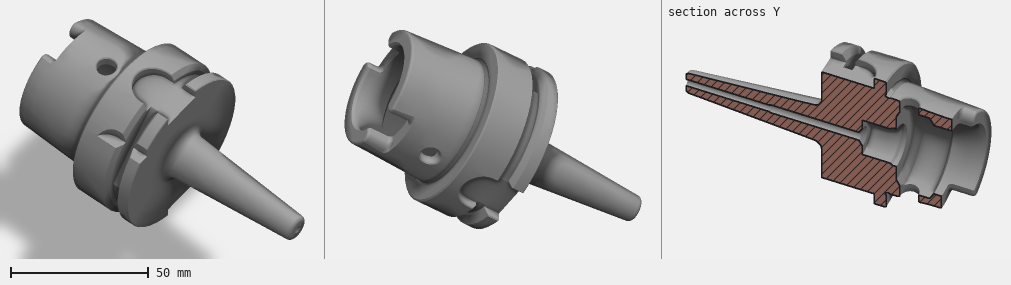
import cadquery as cq
import math

flange_face = 31.9
flange_back = 57.9
nose_end = 112.0

taper_gauge_diameter = 48.0
taper_gauge_x = 25.4
taper_slope = 0.05
taper_end = 29.7
rim_fillet = 1.0
neck_radius = 24.0
neck_lead = 30.4
neck_start = 30.7
neck_end = 31.4
face_relief_inner_radius = 24.4
face_relief_outer_radius = 25.3
face_relief_depth = 0.3

flange_diameter = 63.0
flange_radius = flange_diameter / 2
flange_front_chamfer = 0.6
flange_back_chamfer = 0.3
groove_front = 47.9
groove_back = 51.6
groove_bottom_radius = 27.4
groove_front_flank = 1.3
groove_back_flank = 1.7
flank_angle = 60.0
groove_flat_distance = 21.7
groove_flat_tilt = 48.0

cutter_radius = 8.0
cutter_center_x = 44.9
keyway_floor = 26.5
keyway_edge_chamfer = 0.5
notch_floor = 20.0

nose_tip_diameter = 10.0
nose_slope = 0.077
nose_root_fillet = 3.2
nose_tip_fillet = 1.7

slot_half_width = 6.3
slot_flare_height = 20.6
slot_flare_radius = 3.0
slot_floor_fillet = 1.5
top_slot_depth = 5.8
bottom_slot_depth = 9.9

cross_hole_diameter = 7.5
cross_hole_rim_diameter = 8.4
cross_hole_x = 22.8

bore_diameter = 34.0
bore_rim_chamfer = 0.6
bore_rim_chamfer_length = 1.1
bore_lip_end = 13.0
chamber_diameter = 40.0
chamber_floor = 27.9
chamber_floor_diameter = 31.6
chamber_floor_cone_length = 2.1
clamp_cone_angle = 30.0

thread_recess_diameter = 18.5
thread_diameter = 16.9
thread_recess_end = 29.7
thread_floor = 41.4
coolant_cone_diameter = 8.6
coolant_cone_angle = 118.0
coolant_hole_diameter = 3.7
tool_bore_diameter = 3.0
tool_bore_start = 78.4


def revolve_profile(points):
    """Revolve a closed (x, radius) outline about the X axis."""
    outline = cq.Workplane("XY").polyline(points).close()
    return outline.revolve(360, (0, 0, 0), (1, 0, 0))


def taper_radius(x):
    return taper_gauge_diameter / 2 + taper_slope * (x - taper_gauge_x)


def nose_radius(x):
    return nose_tip_diameter / 2 + nose_slope * (nose_end - x)


def make_taper():
    return revolve_profile([
        (0, 0),
        (0, taper_radius(0)),
        (taper_end, taper_radius(taper_end)),
        (neck_lead, taper_radius(taper_end)),
        (neck_start, neck_radius),
        (neck_end, neck_radius),
        (flange_face + face_relief_depth, face_relief_inner_radius),
        (flange_face + face_relief_depth, 0),
    ])


def make_flange():
    ring = cq.Workplane("YZ").workplane(offset=flange_face).circle(flange_radius)
    ring = ring.extrude(flange_back - flange_face)
    ring = ring.faces("<X").chamfer(flange_front_chamfer)
    ring = ring.faces(">X").chamfer(flange_back_chamfer)
    relief = revolve_profile([
        (flange_face, 0),
        (flange_face, face_relief_outer_radius),
        (flange_face + face_relief_depth, face_relief_outer_radius - face_relief_depth),
        (flange_face + face_relief_depth, 0),
    ])
    return ring.cut(relief)


def milled_pocket(center_y, floor):
    """Round-ended slot running out through the back of the flange, open upwards."""
    length = nose_end - cutter_center_x
    height = flange_radius
    base = cq.Workplane("XY").workplane(offset=floor)
    end = base.center(cutter_center_x, center_y).circle(cutter_radius).extrude(height)
    run = base.center(cutter_center_x + length / 2, center_y)
    run = run.rect(length, 2 * cutter_radius).extrude(height)
    return end.union(run)


def cut_keyways(flange):
    keyway = milled_pocket(0, keyway_floor)
    for angle in (0, 180):
        flange = flange.cut(keyway.rotate((0, 0, 0), (1, 0, 0), angle))
    for outermost in (">Z", "<Z"):
        flange = flange.edges("|X").edges(outermost).chamfer(keyway_edge_chamfer)
    return flange


def cut_notch(flange):
    return flange.cut(milled_pocket(-notch_floor - cutter_radius, notch_floor))


def cut_gripper_groove(flange):
    rise = math.tan(math.radians(flank_angle))
    groove = revolve_profile([
        (groove_front, groove_bottom_radius),
        (groove_front, flange_radius - groove_front_flank * rise),
        (groove_front - groove_front_flank, flange_radius),
        (groove_back + groove_back_flank, flange_radius),
        (groove_back, flange_radius - groove_back_flank * rise),
        (groove_back, groove_bottom_radius),
    ])
    flat = cq.Workplane("XY").box(
        groove_back - groove_front,
        flange_diameter,
        flange_radius,
        centered=(False, True, False),
    )
    flat = flat.translate((groove_front, 0, groove_flat_distance))
    flat = flat.rotate((0, 0, 0), (1, 0, 0), groove_flat_tilt)
    return flange.cut(groove).cut(flat)


def make_nose():
    nose = revolve_profile([
        (flange_back, 0),
        (flange_back, nose_radius(flange_back)),
        (nose_end, nose_radius(nose_end)),
        (nose_end, 0),
    ])
    return nose.faces(">X").edges().fillet(nose_tip_fillet)


def drive_slot(depth):
    """Slot from the axis out through the +Z side of the rim, flaring outwards, with a filleted floor."""
    r = slot_flare_radius
    top = flange_radius
    bend = r * math.sqrt(0.5)
    arc_y = slot_half_width + r
    arc_z = slot_flare_height - r
    profile = (
        cq.Workplane("YZ")
        .moveTo(-slot_half_width, 0)
        .lineTo(slot_half_width, 0)
        .lineTo(slot_half_width, arc_z)
        .threePointArc((arc_y - bend, arc_z + bend), (arc_y, slot_flare_height))
        .lineTo(2 * arc_y, slot_flare_height)
        .lineTo(2 * arc_y, top)
        .lineTo(-2 * arc_y, top)
        .lineTo(-2 * arc_y, slot_flare_height)
        .lineTo(-arc_y, slot_flare_height)
        .threePointArc((bend - arc_y, arc_z + bend), (-slot_half_width, arc_z))
        .close()
    )
    slot = profile.extrude(depth)
    return slot.faces(">X").edges().fillet(slot_floor_fillet)


def make_cavity():
    bore_radius = bore_diameter / 2
    chamber_radius = chamber_diameter / 2
    floor_radius = chamber_floor_diameter / 2
    shoulder_length = (chamber_radius - bore_radius) * math.tan(math.radians(clamp_cone_angle))
    recess_radius = thread_recess_diameter / 2
    thread_radius = thread_diameter / 2
    cone_radius = coolant_cone_diameter / 2
    hole_radius = coolant_hole_diameter / 2
    cone_length = (cone_radius - hole_radius) / math.tan(math.radians(coolant_cone_angle / 2))
    tool_radius = tool_bore_diameter / 2
    return revolve_profile([
        (0, 0),
        (0, bore_radius + bore_rim_chamfer),
        (bore_rim_chamfer_length, bore_radius),
        (bore_lip_end, bore_radius),
        (bore_lip_end + shoulder_length, chamber_radius),
        (chamber_floor - chamber_floor_cone_length, chamber_radius),
        (chamber_floor, floor_radius),
        (chamber_floor, recess_radius),
        (thread_recess_end, recess_radius),
        (thread_recess_end + recess_radius - thread_radius, thread_radius),
        (thread_floor, thread_radius),
        (thread_floor, cone_radius),
        (thread_floor + cone_length, hole_radius),
        (tool_bore_start, hole_radius),
        (tool_bore_start, tool_radius),
        (nose_end, tool_radius),
        (nose_end, 0),
    ])


def cut_cross_hole(shank):
    hole = cq.Workplane("XY").center(cross_hole_x, 0).circle(cross_hole_diameter / 2)
    shank = shank.cut(hole.extrude(flange_radius, both=True))
    rim_chamfer = (cross_hole_rim_diameter - cross_hole_diameter) / 2
    return shank.edges("%BSPLINE").chamfer(rim_chamfer)


def cut_drive_slots(shank):
    shank = shank.cut(drive_slot(top_slot_depth))
    shank = shank.cut(drive_slot(bottom_slot_depth).rotate((0, 0, 0), (1, 0, 0), 180))
    return shank.faces("<X").edges().fillet(rim_fillet)


shank = cut_drive_slots(cut_cross_hole(make_taper()))
flange = cut_gripper_groove(cut_notch(cut_keyways(make_flange())))
body = flange.union(make_nose())
nose_root = cq.selectors.NearestToPointSelector((flange_back, 0, 0))
body = body.edges(nose_root).fillet(nose_root_fillet)
result = shank.union(body).cut(make_cavity())